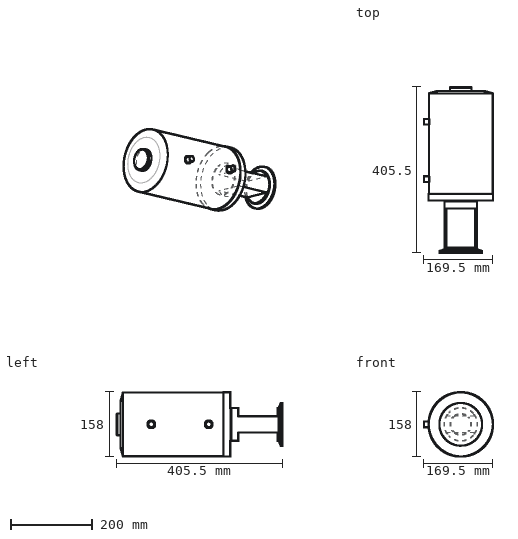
import cadquery as cq

flange_radius = 52.5
neck_radius = 40.0
collar_radius = 79.0
body_radius = 78.2
crown_radius = 56.8
knob_radius = 26.8

flange_rim_end = 4.0
flange_cone_end = 9.5
flat_start = 12.5
flat_end = 108.0
collar_start = 127.5
collar_end = 143.5
body_end = 389.5
crown_end = 395.5
knob_end = 405.5

knob_chamfer = 2.5
flange_bevel = 1.2
seam_depth = 0.5
neck_seam_width = 2.5
body_seam_width = 3.2
flat_half_height = 20.3

port_radius = 7.5
port_tip = 90.5
port_stations = (180.0, 320.3)
port_root = body_radius / 2
port_groove_radius = 9.5
port_groove_depth = 2.0


def make_turned_body():
    """Revolve the flange, neck, collar, tank and knob as one profile."""
    outline = [
        (0, 0),
        (flange_radius, 0),
        (flange_radius, flange_rim_end),
        (neck_radius + flange_bevel, flange_cone_end - flange_bevel),
        (neck_radius, flange_cone_end),
        (neck_radius, collar_start - neck_seam_width),
        (neck_radius - seam_depth, collar_start - neck_seam_width),
        (neck_radius - seam_depth, collar_start),
        (collar_radius, collar_start),
        (collar_radius, collar_end),
        (body_radius - seam_depth, collar_end),
        (body_radius, collar_end + body_seam_width),
        (body_radius, body_end),
        (crown_radius, crown_end),
        (knob_radius, crown_end),
        (knob_radius, knob_end - knob_chamfer),
        (knob_radius - knob_chamfer, knob_end),
        (0, knob_end),
    ]
    profile = cq.Workplane("XY").polyline(outline).close()
    return profile.revolve(360, (0, 0, 0), (0, 1, 0))


def make_flat_cutter(side):
    """Block that cuts one flat on the neck; side is +1 for top, -1 for bottom."""
    height = neck_radius
    center = (0, (flat_start + flat_end) / 2, side * (flat_half_height + height / 2))
    block = cq.Workplane("XY").box(2 * neck_radius, flat_end - flat_start, height)
    return block.translate(center)


def make_side_cylinder(station, radius, inner_end):
    """Cylinder along X, from the port tip on the -X side in to x = -inner_end."""
    plane = cq.Workplane("YZ", origin=(-port_tip, 0, 0)).center(station, 0)
    return plane.circle(radius).extrude(port_tip - inner_end)


def add_port(body, station):
    """Add a round stub standing in a shallow ring groove in the tank wall."""
    clearance = make_side_cylinder(station, port_groove_radius, body_radius - port_groove_depth)
    stub = make_side_cylinder(station, port_radius, port_root)
    return body.cut(clearance).union(stub)


result = make_turned_body()
for side in (1, -1):
    result = result.cut(make_flat_cutter(side))
for station in port_stations:
    result = add_port(result, station)